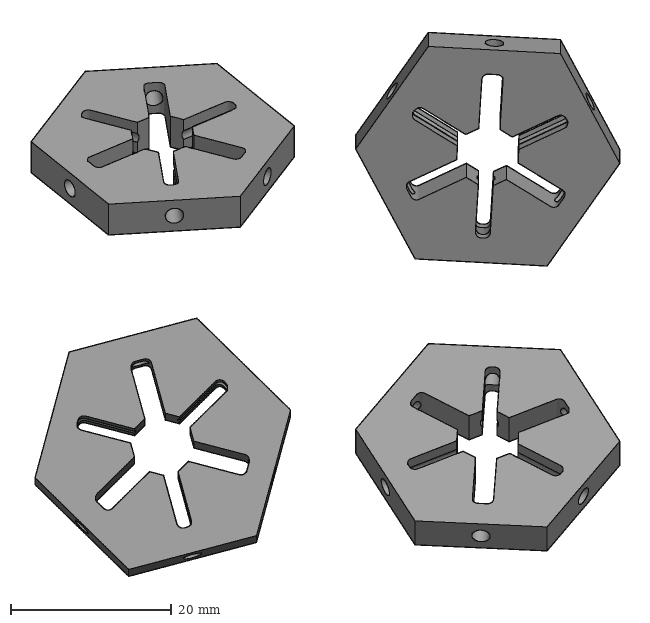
import cadquery as cq
import math

corner_to_corner = 33.0
thickness = 4.75
across_flats = corner_to_corner * math.cos(math.pi / 6)

opening_across_flats = 7.65
opening_corner_to_corner = opening_across_flats / math.cos(math.pi / 6)

narrow_slot_width = 1.85
wide_slot_width = 2.65
slot_reach = 11.0
slot_corner_radius = 0.75
slot_count = 6
slot_pitch = 360 / slot_count
first_slot_angle = 90

cross_hole_diameter = 2.28
drill_overrun = 0.33


def hexagonal_prism(corner_distance, rotation=0):
    """Hexagonal prism centered on the origin."""
    prism = cq.Workplane("XY").polygon(6, corner_distance).extrude(thickness / 2, both=True)
    return prism.rotate((0, 0, 0), (0, 0, 1), rotation)


def slot_cutter(width, angle):
    """Cutter from the center outward, with rounded corners at its outer end."""
    return (
        cq.Workplane("XY")
        .box(slot_reach, width, thickness, centered=(False, True, True))
        .edges("|Z and >X")
        .fillet(slot_corner_radius)
        .rotate((0, 0, 0), (0, 0, 1), angle)
    )


def cross_hole_cutter(angle):
    """Horizontal drill through the whole plate."""
    return (
        cq.Workplane("YZ")
        .circle(cross_hole_diameter / 2)
        .extrude(across_flats / 2 + drill_overrun, both=True)
        .rotate((0, 0, 0), (0, 0, 1), angle)
    )


result = hexagonal_prism(corner_to_corner)
result = result.cut(hexagonal_prism(opening_corner_to_corner, rotation=slot_pitch / 2))

for index in range(slot_count):
    slot_width = narrow_slot_width if index % 2 == 0 else wide_slot_width
    result = result.cut(slot_cutter(slot_width, first_slot_angle + index * slot_pitch))

for index in range(slot_count // 2):
    result = result.cut(cross_hole_cutter(first_slot_angle + index * slot_pitch))